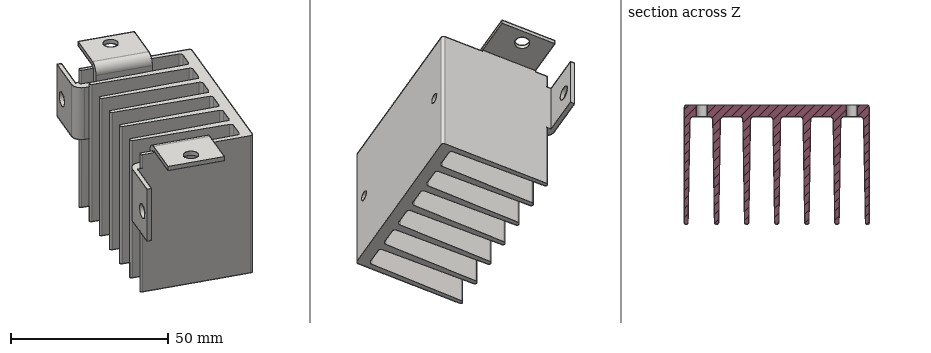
import cadquery as cq

sink_width = 58.93
sink_depth = 38.1
sink_height = 50.29
base_thickness = 3.81
fin_pitch = 9.58
inner_fin_count = 5
inner_fin_root = 2.54
inner_fin_tip = 1.42
end_fin_root = 1.9
end_fin_tip = 1.27
root_fillet = 1.02
back_corner_fillet = 0.9

base_hole_diameter = 3.35
base_hole_spacing = 47.75
base_hole_z = 26.16

bracket_span = 85.34
sheet_thickness = 1.52
bracket_top_z = 52.32
bracket_front_y = -40.64
wall_thickness = 3.86
bend_radius = 3.3
flange_width = 19.05
top_flange_back_y = -14.48
front_flange_bottom_z = 26.29
flange_hole_diameter = 4.83
flange_hole_inset = 4.57
top_hole_y = -24.13
front_hole_z = 34.93

half_sink = sink_width / 2
half_span = bracket_span / 2
wall_inner_x = half_sink - wall_thickness
top_flange_front_y = top_flange_back_y - flange_width
front_flange_top_z = front_flange_bottom_z + flange_width


def make_fin(root_left, root_right, tip_left, tip_right):
    """Tapered fin with a fully rounded tip, running the full height of the sink."""
    tip_radius = (tip_right - tip_left) / 2
    round_start_y = tip_radius - sink_depth
    return (
        cq.Workplane("XY")
        .moveTo(root_left, -base_thickness)
        .lineTo(tip_left, round_start_y)
        .threePointArc(((tip_left + tip_right) / 2, -sink_depth), (tip_right, round_start_y))
        .lineTo(root_right, -base_thickness)
        .close()
        .extrude(sink_height)
    )


def make_heatsink():
    """Base plate, tapered fins, root fillets and the two base holes."""
    base = cq.Workplane("XY").box(sink_width, base_thickness, sink_height, centered=(True, False, False))
    sink = base.translate((0, -base_thickness, 0))
    for index in range(inner_fin_count):
        center = (index - (inner_fin_count - 1) / 2) * fin_pitch
        root = inner_fin_root / 2
        tip = inner_fin_tip / 2
        sink = sink.union(make_fin(center - root, center + root, center - tip, center + tip))
    end_fin = make_fin(half_sink - end_fin_root, half_sink, half_sink - end_fin_tip, half_sink)
    sink = sink.union(end_fin).union(end_fin.mirror("YZ")).clean()

    root_box = cq.selectors.BoxSelector(
        (-half_sink + end_fin_root / 2, -base_thickness - root_fillet, -root_fillet),
        (half_sink - end_fin_root / 2, -base_thickness + root_fillet, sink_height + root_fillet),
    )
    sink = sink.edges("|Z").edges(root_box).fillet(root_fillet)
    sink = sink.faces(">Y").edges("|Z").fillet(back_corner_fillet)

    holes = (
        cq.Workplane("XZ")
        .pushPoints([(-base_hole_spacing / 2, base_hole_z), (base_hole_spacing / 2, base_hole_z)])
        .circle(base_hole_diameter / 2)
        .extrude(base_thickness)
    )
    return sink.cut(holes)


def block(x_range, y_range, z_range):
    """Box between the given (low, high) limits on each axis."""
    sizes = [high - low for low, high in (x_range, y_range, z_range)]
    corner = (x_range[0], y_range[0], z_range[0])
    return cq.Workplane("XY").box(*sizes, centered=False).translate(corner)


def make_top_bend():
    """Wall section bent outward into the horizontal flange, with its hole."""
    y_range = (top_flange_front_y, top_flange_back_y)
    wall = block((wall_inner_x, half_sink), y_range, (front_flange_bottom_z, bracket_top_z))
    flange = block((half_sink, half_span), y_range, (bracket_top_z - sheet_thickness, bracket_top_z))
    bend = wall.edges("|Y and <X and >Z").fillet(bend_radius)
    hole = (
        cq.Workplane("XY", origin=(half_span - flange_hole_inset, top_hole_y, bracket_top_z))
        .circle(flange_hole_diameter / 2)
        .extrude(-sheet_thickness)
    )
    return bend.union(flange).cut(hole)


def make_front_bend():
    """Wall section bent outward into the vertical flange, with its hole."""
    z_range = (front_flange_bottom_z, front_flange_top_z)
    wall = block((wall_inner_x, half_sink), (bracket_front_y, top_flange_back_y), z_range)
    flange = block((half_sink, half_span), (bracket_front_y, bracket_front_y + sheet_thickness), z_range)
    bend = wall.edges("|Z and <X and <Y").fillet(bend_radius)
    hole = (
        cq.Workplane("XZ", origin=(half_span - flange_hole_inset, bracket_front_y, front_hole_z))
        .circle(flange_hole_diameter / 2)
        .extrude(-sheet_thickness)
    )
    return bend.union(flange).cut(hole)


bracket = make_top_bend().union(make_front_bend())
result = make_heatsink().union(bracket).union(bracket.mirror("YZ")).clean()